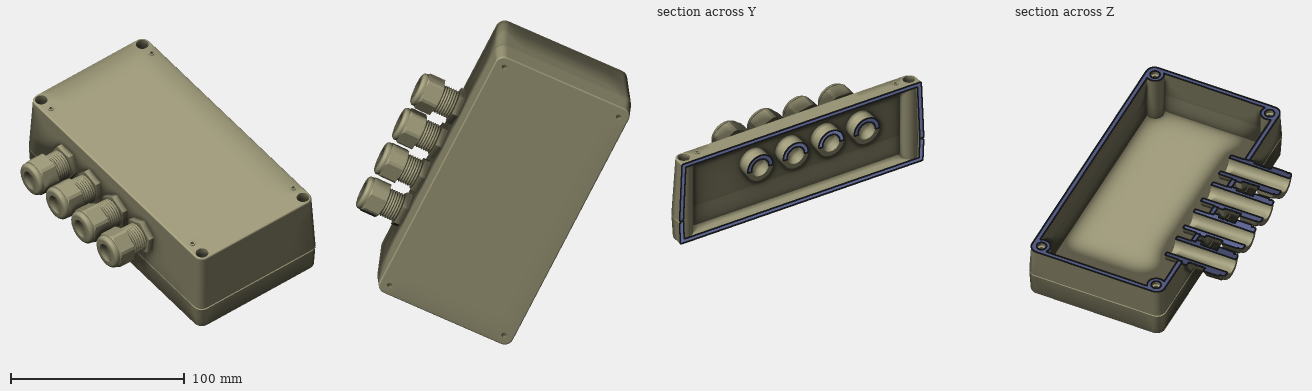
import cadquery as cq
import math

box_length = 166.0
box_width = 86.2
draft_angle = 2.5
corner_radius = 5.3
wall = 3.0
base_height = 14.8
seam_height = 1.0
seam_depth = 0.8
lid_top = 54.8
bottom_edge_radius = 0.8
top_edge_radius = 1.0
lid_bottom = base_height + seam_height

screw_inset = 6.6
screw_x = box_length / 2 - screw_inset
screw_y = box_width / 2 - screw_inset
column_radius = 5.3
screw_hole_diameter = 3.0
recess_top_radius = 3.7
recess_depth = 23.2

stud_spacing = 9.1
stud_x = screw_x - stud_spacing
stud_diameter = 3.3
stud_height = 0.7
stud_hole_diameter = 2.0
stud_hole_depth = 1.7

gland_count = 4
gland_pitch = 24.0
first_gland_x = -44.2
gland_height = 34.2
gland_twist_step = -11.5
hex_sides = 6
nut_corner_radius = 11.0
nut_thickness = 3.5
thread_radius = 8.6
thread_depth = 0.8
thread_turns = 7
cap_start = 13.8
hex_end = 23.9
tip_length = 27.0
cap_flat_radius = 10.0
cap_corner_radius = 11.0
cap_bevel = 1.0
cap_bevel_radius = 11.1
neck_radius = 9.5
neck_width = 0.5
dome_radius = 10.0
dome_edge_radius = 2.0
bore_radius = 5.6
inner_length = 11.6

draft = math.tan(math.radians(draft_angle))
screw_points = [(sx * screw_x, sy * screw_y) for sx in (-1, 1) for sy in (-1, 1)]
stud_points = [(sx * stud_x, sy * screw_y) for sx in (-1, 1) for sy in (-1, 1)]
wall_y_at_glands = -(box_width / 2 - (gland_height - lid_bottom) * draft)


def drafted_block(start_z, height, inset):
    """Round-cornered block that narrows away from start_z; a negative height goes down."""
    return (
        cq.Workplane("XY", origin=(0, 0, start_z))
        .rect(box_length - 2 * inset, box_width - 2 * inset)
        .extrude(height, taper=draft_angle)
        .edges("not(|X or |Y)")
        .fillet(corner_radius - inset)
    )


def cylinders(points, diameter, start_z, height):
    return cq.Workplane("XY", origin=(0, 0, start_z)).pushPoints(points).circle(diameter / 2).extrude(height)


def cavity(start_z, height):
    """Hollow of a shell half, leaving the four screw columns standing."""
    return drafted_block(start_z, height, wall).cut(cylinders(screw_points, 2 * column_radius, start_z, height))


def screw_recesses():
    """Screw-head recesses that narrow downward with the moulding draft."""
    return (
        cq.Workplane("XY", origin=(0, 0, lid_top))
        .pushPoints(screw_points)
        .circle(recess_top_radius)
        .extrude(-recess_depth, taper=draft_angle)
    )


def gland_plane(index):
    """Plane on the drafted front wall with its normal pointing out of the box."""
    angle = math.radians(draft_angle)
    return cq.Plane(
        origin=(first_gland_x + index * gland_pitch, wall_y_at_glands, gland_height),
        xDir=(1, 0, 0),
        normal=(0, -math.cos(angle), math.sin(angle)),
    )


def make_base():
    tray = drafted_block(base_height, -base_height, 0).faces("<Z").edges().fillet(bottom_edge_radius)
    rim = (
        cq.Workplane("XY", origin=(0, 0, base_height))
        .rect(box_length - 2 * seam_depth, box_width - 2 * seam_depth)
        .extrude(seam_height)
        .edges("|Z")
        .fillet(corner_radius - seam_depth)
    )
    hollow = cavity(lid_bottom, wall - lid_bottom)
    return tray.union(rim).cut(hollow).cut(cylinders(screw_points, screw_hole_diameter, 0, lid_bottom))


def make_lid():
    shell = drafted_block(lid_bottom, lid_top - lid_bottom, 0).faces(">Z").edges().fillet(top_edge_radius)
    lid = (
        shell.cut(cavity(lid_bottom, lid_top - wall - lid_bottom))
        .cut(screw_recesses())
        .cut(cylinders(screw_points, screw_hole_diameter, lid_bottom, lid_top - lid_bottom))
        .union(cylinders(stud_points, stud_diameter, lid_top, stud_height))
        .cut(cylinders(stud_points, stud_hole_diameter, lid_top + stud_height, -stud_hole_depth))
    )
    for index in range(gland_count):
        wall_hole = cq.Workplane(gland_plane(index)).circle(thread_radius).extrude(-inner_length)
        lid = lid.cut(wall_hole)
    return lid


def gland_core():
    """Turned core: plain stub through the wall, ring thread, and domed tip."""
    pitch = (cap_start - nut_thickness) / thread_turns
    root_radius = thread_radius - thread_depth
    dome_start = hex_end + neck_width
    profile = cq.Workplane("XZ").moveTo(0, -inner_length).lineTo(thread_radius, -inner_length)
    profile = profile.lineTo(thread_radius, 0).lineTo(root_radius, nut_thickness)
    for turn in range(thread_turns):
        turn_start = nut_thickness + turn * pitch
        profile = profile.lineTo(thread_radius, turn_start + pitch / 2).lineTo(root_radius, turn_start + pitch)
    return (
        profile.lineTo(neck_radius, cap_start)
        .lineTo(neck_radius, dome_start)
        .lineTo(dome_radius, dome_start)
        .lineTo(dome_radius, tip_length - dome_edge_radius)
        .radiusArc((dome_radius - dome_edge_radius, tip_length), -dome_edge_radius)
        .lineTo(0, tip_length)
        .close()
        .revolve(360, (0, 0, 0), (0, 1, 0))
    )


def cap_hexagon():
    """Hexagonal cap with flattened corners and a conical bevel at its outer end."""
    length = hex_end - cap_start
    half_side_angle = 180 / hex_sides
    to_corner = 1 / math.cos(math.radians(half_side_angle))
    start = cq.Workplane("XY", origin=(0, 0, cap_start))
    hexagon = start.polygon(hex_sides, 2 * cap_flat_radius * to_corner).extrude(length)
    turned_start = start.transformed(rotate=(0, 0, half_side_angle))
    corner_trim = turned_start.polygon(hex_sides, 2 * cap_corner_radius * to_corner).extrude(length)
    bevel = start.circle(cap_bevel_radius).extrude(length).faces(">Z").chamfer(cap_bevel)
    return hexagon.intersect(corner_trim).intersect(bevel)


def make_gland(index):
    nut = cq.Workplane("XY").polygon(hex_sides, 2 * nut_corner_radius).extrude(nut_thickness)
    bore = cq.Workplane("XY", origin=(0, 0, -inner_length)).circle(bore_radius).extrude(inner_length + tip_length)
    gland = gland_core().union(nut).union(cap_hexagon()).cut(bore)
    turned = gland.rotate((0, 0, 0), (0, 0, 1), index * gland_twist_step)
    return turned.val().moved(gland_plane(index).location)


base = make_base()
lid = make_lid()
glands = [make_gland(index) for index in range(gland_count)]

result = cq.Compound.makeCompound([base.solids().val(), lid.solids().val(), *glands])